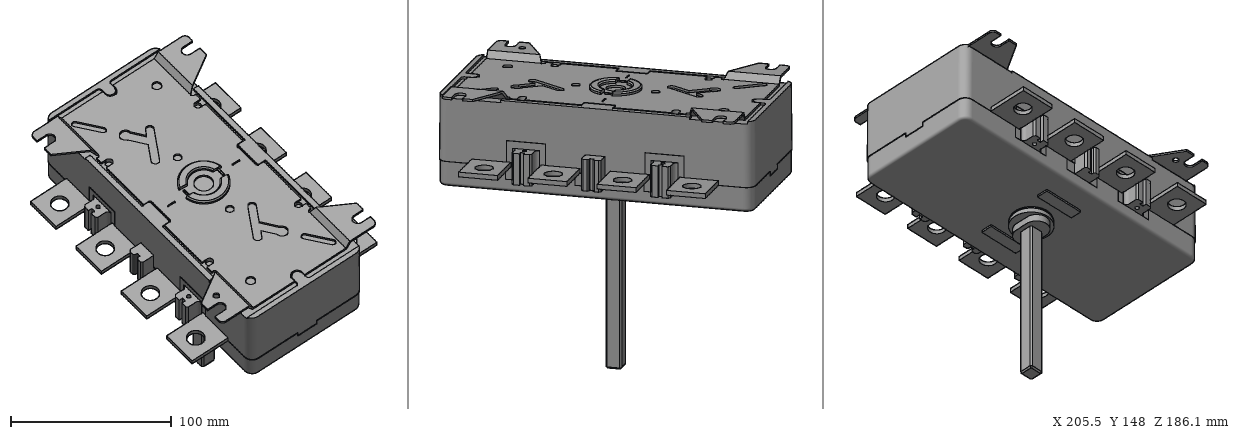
import cadquery as cq
import math

LENGTH = 205.5
WIDTH = 90.5
HEIGHT = 59.0
PARTING_Z = 16.0
TOP_LENGTH = 204.6
COVER_LENGTH = 204.6
COVER_WIDTH = 90.0
CORNER_R = 6.2
BOTTOM_R = 2.0
LATCH_WIDTH = 15.2
LATCH_DROP = 3.0

SHEET = 1.5
PLATE_HALF_X = 95.1
PLATE_HALF_Y = 39.7
RECESS_HALF_X = 98.8
RECESS_HALF_Y = 41.3
RIM_HALF_X = 61.5
RECESS_FLOOR = HEIGHT - SHEET
SIDE_TONGUE_HALF_X = 10.0
SIDE_TONGUE_Y = 35.3
SIDE_TONGUE_R = 1.2
END_TONGUE_HALF_Y = 3.7
END_TONGUE_X = 89.5
END_ROOT_R = 2.0
TONGUE_SIDE_GAP = 0.3
TONGUE_TIP_GAP = 1.0
PIN_X = 50.0
PIN_Y = 35.5
PIN_R = 2.5
PIN_DEPTH = 2.0

EAR_TOP = 63.5
EAR_END_Y = 62.3
BEND_LOW_Y = 37.0
BEND_HIGH_Y = 40.3
EAR_ROOT_X = 59.2
EAR_TIP_X = 74.5
EAR_CORNER = 3.3
EAR_SLOT_X = 84.6
EAR_SLOT_WIDTH = 7.2
EAR_SLOT_END_Y = 51.4
EAR_HOLE = (76.0, -51.2)
EAR_HOLE_R = 2.0
RELIEF_R = 1.8
RELIEF_X = 59.0
RELIEF_Y = 38.8

ROUND_HOLES = [(-77.7, 25.0, 3.0), (-25.9, 0.0, 2.7)]
SLANT_SLOT = ((-86.3, -33.5), (-71.7, -22.8), 2.0)
BRANCH_BAR = ((-54.0, 0.5), (-32.7, -12.3), 2.7)
BRANCH_STEM = ((-59.8, -14.4), (-46.5, -5.0), 3.3)
BRANCH_END_R = 4.0
MARK_LENGTH = 5.8
MARK_WIDTH = 0.8
MARK_Y = 25.9

RING_R = 16.5
RING_BORE_R = 10.3
RING_HEIGHT = 2.3
RING_CHAMFER = 0.92
RING_GAP = 7.8
RING_GAP_TURN = -5.0
CENTER_HOLE_R = 6.2
STOP_LENGTH = 6.2
STOP_WIDTH = 1.2
STOP_HEIGHT = 0.8
STOP_Y = 13.5

TERMINAL_COUNT = 4
TERMINAL_PITCH = 45.0
TERMINAL_WIDTH = 25.3
TERMINAL_THICKNESS = 3.0
TERMINAL_END_Y = 74.0
TERMINAL_HOLE_Y = 60.8
TERMINAL_HOLE_R = 5.8

POST_WIDTH = 12.7
POST_END_Y = 54.9
POST_BOTTOM = 7.8
POST_TOP = 28.4
POST_CORNER = 1.2
POST_NOTCH = 2.7
NOTCH_MOUTH = 1.0
POST_HOLE_Y = 48.3
POST_HOLE_R = 1.34
FLARE_R = 2.5
WINDOW_WIDTH = 25.3
WINDOW_TOP = 33.0
COVER_WINDOW_WIDTH = 26.5
WINDOW_DEPTH = 0.3

NECK_R = 13.8
NECK_LENGTH = 1.2
FLANGE_R = 14.2
FLANGE_BOTTOM = -4.7
HUB_LENGTH = 26.0
HUB_WIDTH = 16.8
HUB_BOTTOM = -9.9
SHAFT_SIDE = 10.3
SHAFT_CHAMFER = 1.0
OVERALL_HEIGHT = 186.1
SHAFT_BOTTOM = EAR_TOP - OVERALL_HEIGHT
PAD_LENGTH = 29.5
PAD_WIDTH = 8.2
PAD_Y = 24.7
PAD_HEIGHT = 1.5


def block(x0, x1, y0, y1, z0, z1):
    """Box between two opposite corners."""
    return cq.Workplane("XY").box(x1 - x0, y1 - y0, z1 - z0, centered=False).translate((x0, y0, z0))


def disc(x, y, radius, z0, z1):
    """Upright cylinder."""
    return cq.Workplane("XY", origin=(x, y, z0)).circle(radius).extrude(z1 - z0)


def slot(start, end, radius, z0, z1):
    """Upright round-ended bar from start to end."""
    dx = end[0] - start[0]
    dy = end[1] - start[1]
    middle = ((start[0] + end[0]) / 2, (start[1] + end[1]) / 2)
    return (
        cq.Workplane("XY", origin=(*middle, z0))
        .transformed(rotate=(0, 0, math.degrees(math.atan2(dy, dx))))
        .slot2D(math.hypot(dx, dy) + 2 * radius, 2 * radius)
        .extrude(z1 - z0)
    )


def half_turn(shape):
    return shape.union(shape.rotate((0, 0, 0), (0, 0, 1), 180))


def both_long_sides(shape):
    return shape.union(shape.mirror("XZ"))


def four_corners(shape):
    both_ends = shape.union(shape.mirror("YZ"))
    return both_long_sides(both_ends)


def make_housing():
    cover = cq.Workplane("XY").box(COVER_LENGTH, COVER_WIDTH, PARTING_Z, centered=(True, True, False))
    cover = cover.edges("|Z").fillet(CORNER_R).faces("<Z").edges().fillet(BOTTOM_R)
    case = (
        cq.Workplane("XZ")
        .polyline([
            (-LENGTH / 2, PARTING_Z),
            (LENGTH / 2, PARTING_Z),
            (TOP_LENGTH / 2, HEIGHT),
            (-TOP_LENGTH / 2, HEIGHT),
        ])
        .close()
        .extrude(WIDTH / 2, both=True)
    )
    case = case.edges("not(|X or |Y)").fillet(CORNER_R)
    latch = cq.Workplane("XY").box(LENGTH, LATCH_WIDTH, LATCH_DROP, centered=(True, True, False))
    return cover.union(case).union(latch.translate((0, 0, PARTING_Z - LATCH_DROP)))


def tongues(side_gap, tip_gap):
    """Housing tongues that reach into the plate, enlarged by the clearance around them."""
    side_half = SIDE_TONGUE_HALF_X + side_gap
    side = block(-side_half, side_half, SIDE_TONGUE_Y - tip_gap, RECESS_HALF_Y, RECESS_FLOOR, HEIGHT)
    side = side.edges("|Z and <Y").fillet(SIDE_TONGUE_R)
    end_r = END_TONGUE_HALF_Y + side_gap
    end_center = END_TONGUE_X - tip_gap + end_r
    end = slot((end_center, 0), (RECESS_HALF_X, 0), end_r, RECESS_FLOOR, HEIGHT)
    return half_turn(side.union(end))


def make_recess():
    recess = block(-RECESS_HALF_X, RECESS_HALF_X, -RECESS_HALF_Y, RECESS_HALF_Y, RECESS_FLOOR, HEIGHT)
    ear_opening = block(RIM_HALF_X, RECESS_HALF_X, 0, WIDTH / 2, RECESS_FLOOR, HEIGHT)
    pin_hole = disc(PIN_X, PIN_Y, PIN_R, RECESS_FLOOR - PIN_DEPTH, HEIGHT)
    recess = recess.union(four_corners(ear_opening)).cut(tongues(0, 0))
    for x in (-RECESS_HALF_X, RECESS_HALF_X):
        root = cq.selectors.BoxSelector(
            (x - END_ROOT_R, -2 * END_TONGUE_HALF_Y, RECESS_FLOOR),
            (x + END_ROOT_R, 2 * END_TONGUE_HALF_Y, HEIGHT),
        )
        recess = recess.edges("|Z").edges(root).fillet(END_ROOT_R)
    return recess.union(four_corners(pin_hole))


def plate_openings():
    z0, z1 = RECESS_FLOOR, HEIGHT
    openings = slot(*SLANT_SLOT, z0, z1)
    openings = openings.union(slot(*BRANCH_BAR, z0, z1))
    openings = openings.union(slot(*BRANCH_STEM, z0, z1))
    openings = openings.union(disc(*BRANCH_STEM[0], BRANCH_END_R, z0, z1))
    for x, y, radius in ROUND_HOLES:
        openings = openings.union(disc(x, y, radius, z0, z1))
    mark = cq.Workplane("XY").box(MARK_WIDTH, MARK_LENGTH, SHEET, centered=(True, True, False))
    openings = openings.union(mark.translate((0, MARK_Y, z0)))
    openings = half_turn(openings)
    edge_notch = slot((PIN_X, PIN_Y), (PIN_X, PLATE_HALF_Y + PIN_R), PIN_R, z0, z1)
    relief = disc(RELIEF_X, RELIEF_Y, RELIEF_R, z0, z1)
    return openings.union(four_corners(edge_notch.union(relief)))


def make_plate():
    plate = block(-PLATE_HALF_X, PLATE_HALF_X, -BEND_LOW_Y, BEND_LOW_Y, RECESS_FLOOR, HEIGHT)
    middle = block(-EAR_ROOT_X, EAR_ROOT_X, -PLATE_HALF_Y, PLATE_HALF_Y, RECESS_FLOOR, HEIGHT)
    plate = plate.union(middle).cut(disc(0, 0, CENTER_HOLE_R, RECESS_FLOOR, HEIGHT))
    return plate.cut(tongues(TONGUE_SIDE_GAP, TONGUE_TIP_GAP)).cut(plate_openings())


def make_ear():
    """Ear at +X +Y: the bent sheet section trimmed to the ear's plan outline."""
    rise = EAR_TOP - HEIGHT
    run = BEND_HIGH_Y - BEND_LOW_Y
    bend_shift = SHEET * math.tan(math.atan2(rise, run) / 2)
    section = (
        cq.Workplane("YZ")
        .polyline([
            (BEND_LOW_Y - SHEET, RECESS_FLOOR),
            (BEND_LOW_Y + bend_shift, RECESS_FLOOR),
            (BEND_HIGH_Y + bend_shift, EAR_TOP - SHEET),
            (EAR_END_Y, EAR_TOP - SHEET),
            (EAR_END_Y, EAR_TOP),
            (BEND_HIGH_Y, EAR_TOP),
            (BEND_LOW_Y, HEIGHT),
            (BEND_LOW_Y - SHEET, HEIGHT),
        ])
        .close()
        .extrude(PLATE_HALF_X)
    )
    outline = (
        cq.Workplane("XY", origin=(0, 0, RECESS_FLOOR))
        .polyline([
            (EAR_ROOT_X, BEND_LOW_Y - SHEET),
            (EAR_ROOT_X, BEND_LOW_Y),
            (EAR_TIP_X, EAR_END_Y),
            (PLATE_HALF_X, EAR_END_Y),
            (PLATE_HALF_X, BEND_LOW_Y - SHEET),
        ])
        .close()
        .extrude(EAR_TOP - RECESS_FLOOR)
        .edges("|Z and >X and >Y")
        .fillet(EAR_CORNER)
    )
    slot_r = EAR_SLOT_WIDTH / 2
    slot_start = (EAR_SLOT_X, EAR_SLOT_END_Y + slot_r)
    opening = slot(slot_start, (EAR_SLOT_X, EAR_END_Y + slot_r), slot_r, RECESS_FLOOR, EAR_TOP)
    return section.intersect(outline).cut(opening)


def make_ears():
    return four_corners(make_ear()).cut(disc(*EAR_HOLE, EAR_HOLE_R, RECESS_FLOOR, EAR_TOP))


def make_ring():
    ring = disc(0, 0, RING_R, HEIGHT, HEIGHT + RING_HEIGHT)
    ring = ring.cut(disc(0, 0, RING_BORE_R, HEIGHT, HEIGHT + RING_HEIGHT))
    ring = ring.faces(">Z").edges().chamfer(RING_CHAMFER)
    gap = cq.Workplane("XY").box(RING_GAP, 2 * RING_R, RING_HEIGHT, centered=(True, True, False))
    gap = gap.rotate((0, 0, 0), (0, 0, 1), RING_GAP_TURN).translate((0, 0, HEIGHT))
    stop = cq.Workplane("XY").box(STOP_LENGTH, STOP_WIDTH, STOP_HEIGHT, centered=(True, True, False))
    return ring.cut(gap).union(both_long_sides(stop.translate((0, STOP_Y, HEIGHT))))


def make_terminals():
    terminals = cq.Workplane("XY")
    for i in range(TERMINAL_COUNT):
        x = (i - (TERMINAL_COUNT - 1) / 2) * TERMINAL_PITCH
        bar = block(
            x - TERMINAL_WIDTH / 2, x + TERMINAL_WIDTH / 2, -TERMINAL_END_Y, TERMINAL_END_Y,
            PARTING_Z, PARTING_Z + TERMINAL_THICKNESS,
        )
        for y in (-TERMINAL_HOLE_Y, TERMINAL_HOLE_Y):
            bar = bar.cut(disc(x, y, TERMINAL_HOLE_R, PARTING_Z, PARTING_Z + TERMINAL_THICKNESS))
        terminals = terminals.union(bar)
    return terminals


def make_post(x, flared):
    """Notched post on the +Y side, rooted behind the window floor.

    Flared posts widen at the wall and carry a vertical hole; the others have a chamfered notch mouth.
    """
    half = POST_WIDTH / 2
    wall_y = WIDTH / 2
    root_y = wall_y - 2 * WINDOW_DEPTH
    post = block(x - half, x + half, root_y, POST_END_Y, POST_BOTTOM, POST_TOP)
    post = post.edges("|Z and >Y").chamfer(POST_CORNER)
    notch_y = POST_END_Y - POST_NOTCH
    post = post.cut(
        block(x - POST_NOTCH / 2, x + POST_NOTCH / 2, notch_y, POST_END_Y, POST_BOTTOM, POST_TOP)
    )
    if not flared:
        mouth = cq.selectors.BoxSelector(
            (x - POST_NOTCH, POST_END_Y - NOTCH_MOUTH, POST_BOTTOM),
            (x + POST_NOTCH, POST_END_Y + NOTCH_MOUTH, POST_TOP),
        )
        post = post.edges("|Z").edges(mouth).chamfer(NOTCH_MOUTH)
    else:
        wide = half + FLARE_R
        foot = block(x - wide, x + wide, root_y, wall_y + FLARE_R, POST_BOTTOM, POST_TOP)
        for side in (-wide, wide):
            foot = foot.cut(disc(x + side, wall_y + FLARE_R, FLARE_R, POST_BOTTOM, POST_TOP))
        post = post.union(foot).cut(disc(x, POST_HOLE_Y, POST_HOLE_R, POST_BOTTOM, POST_TOP))
    return post


def make_posts():
    posts = make_post(0, False)
    for x in (-TERMINAL_PITCH, TERMINAL_PITCH):
        posts = posts.union(make_post(x, True))
    return both_long_sides(posts)


def make_windows():
    """Shallow wall pockets around the posts on the +Y and -Y sides."""
    wall_y = WIDTH / 2
    windows = cq.Workplane("XY")
    for i in (-1, 0, 1):
        x = i * TERMINAL_PITCH
        half = COVER_WINDOW_WIDTH / 2
        windows = windows.union(
            block(x - half, x + half, wall_y - WINDOW_DEPTH, wall_y, POST_BOTTOM, PARTING_Z)
        )
        if i != 0:
            half = WINDOW_WIDTH / 2
            windows = windows.union(
                block(x - half, x + half, wall_y - WINDOW_DEPTH, wall_y, PARTING_Z, WINDOW_TOP)
            )
    return both_long_sides(windows)


def make_drive():
    neck = disc(0, 0, NECK_R, -NECK_LENGTH, 0)
    flange = disc(0, 0, FLANGE_R, FLANGE_BOTTOM, -NECK_LENGTH)
    hub_r = HUB_WIDTH / 2
    hub_end_y = HUB_LENGTH / 2 - hub_r
    hub = slot((0, -hub_end_y), (0, hub_end_y), hub_r, HUB_BOTTOM, FLANGE_BOTTOM)
    half = SHAFT_SIDE / 2
    shaft = block(-half, half, -half, half, SHAFT_BOTTOM, HUB_BOTTOM)
    shaft = shaft.edges("|Z").chamfer(SHAFT_CHAMFER).faces("<Z").edges().chamfer(SHAFT_CHAMFER)
    pad = block(
        -PAD_LENGTH / 2, PAD_LENGTH / 2, PAD_Y - PAD_WIDTH / 2, PAD_Y + PAD_WIDTH / 2, -PAD_HEIGHT, 0
    )
    return neck.union(flange).union(hub).union(shaft).union(both_long_sides(pad))


result = make_housing().cut(make_recess()).cut(make_windows())
for feature in (make_plate(), make_ears(), make_ring(), make_terminals(), make_posts(), make_drive()):
    result = result.union(feature)